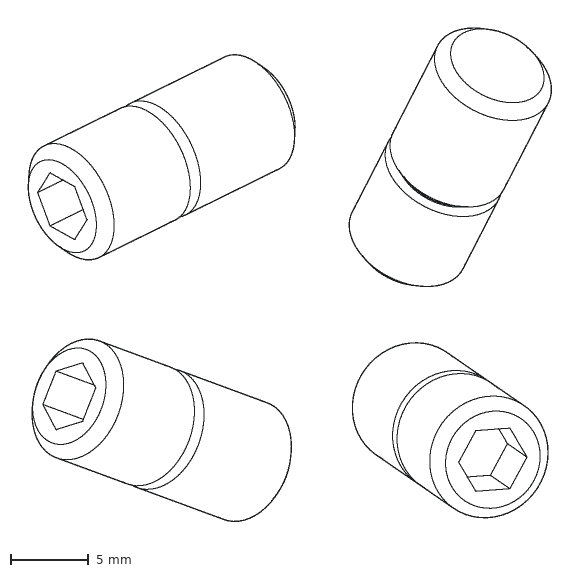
import cadquery as cq
import math

total_length = 17.5
diameter = 8.0
chamfer = 0.8

screw_length = 7.5
socket_across_flats = 3.99
socket_depth = 4.0

neck_length = 0.1
neck_diameter = diameter - 2 * chamfer

front_y = -total_length / 2
joint_y = front_y + screw_length
plug_body_length = total_length - screw_length - neck_length


def plane_at(y):
    """Plane across the axis at the given Y, with its normal along +Y."""
    return cq.Plane(origin=(0, y, 0), xDir=(1, 0, 0), normal=(0, 1, 0))


def make_screw():
    """Cylinder chamfered at its outer end, with a blind hexagon socket."""
    body = cq.Workplane(plane_at(front_y)).circle(diameter / 2).extrude(screw_length)
    body = body.faces("<Y").chamfer(chamfer)
    across_corners = socket_across_flats / math.cos(math.pi / 6)
    socket = cq.Workplane(plane_at(front_y)).polygon(6, across_corners).extrude(socket_depth)
    return body.cut(socket)


def make_plug():
    """Cylinder chamfered at both ends, with a neck towards the screw."""
    neck = cq.Workplane(plane_at(joint_y)).circle(neck_diameter / 2).extrude(neck_length)
    body = cq.Workplane(plane_at(joint_y + neck_length)).circle(diameter / 2).extrude(plug_body_length)
    body = body.faces("<Y or >Y").chamfer(chamfer)
    return body.union(neck)


screw = make_screw()
plug = make_plug()

result = cq.Compound.makeCompound([screw.val(), plug.val()])